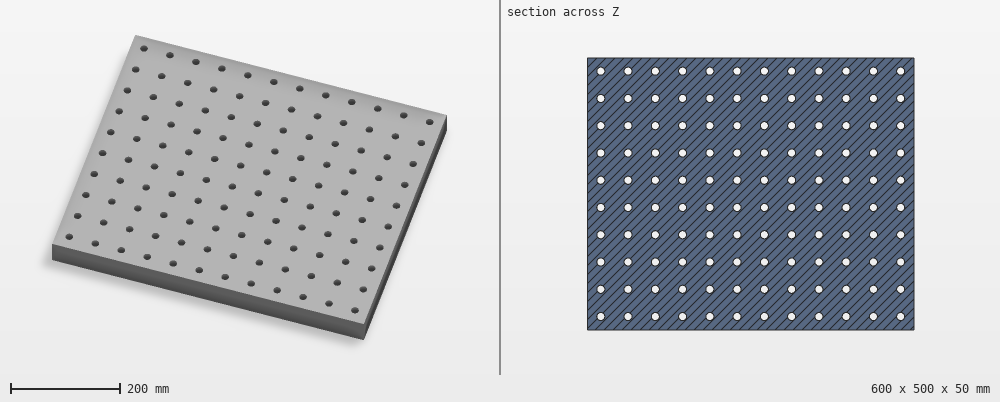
import cadquery as cq

length = 600.0
width = 500.0
thickness = 50.0

hole_diameter = 14.0
hole_pitch = 50.0
holes_along_x = 12
holes_along_y = 10


def make_plate():
    """Rectangular plate centred on X and Y, with its underside at Z = 0."""
    return cq.Workplane("XY").box(length, width, thickness, centered=(True, True, False))


def drill_hole_grid(plate):
    """Drill the centred grid of holes through the full thickness."""
    return (
        plate.faces(">Z")
        .workplane()
        .rarray(hole_pitch, hole_pitch, holes_along_x, holes_along_y)
        .hole(hole_diameter)
    )


result = drill_hole_grid(make_plate())